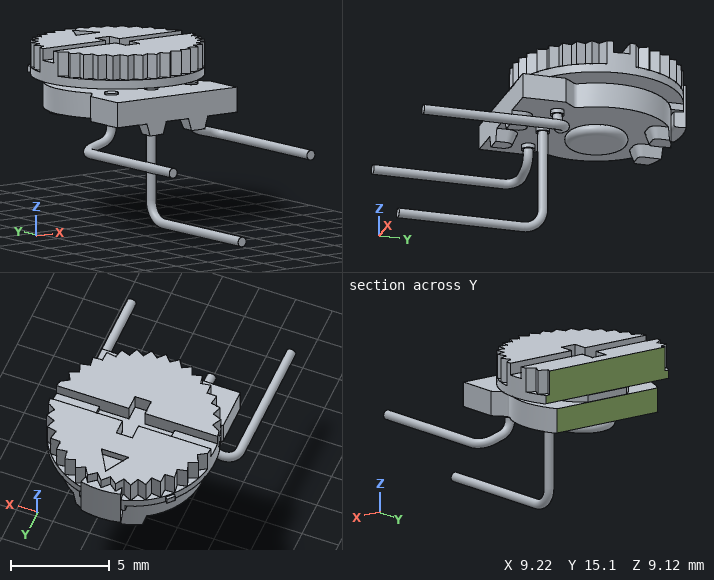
import cadquery as cq
import math


overall_length = 15.1

housing_radius = 3.79
housing_height = 1.3
housing_front = -5.06
shoulder_y = -2.78
shoulder_run = 0.55
shoulder_rise = 0.6
shoulder_fillet = 0.2

foot_height = 0.63
foot_offset = 1.31
front_foot_top = (0.62, -3.8, 0.6)
front_foot_bottom = (0.42, -4.09, 0.41)
rear_foot_top = (0.7, 2.26, 0.42)
rear_foot_bottom = (0.51, 2.49, 0.24)

button_radius = 1.6
button_height = 0.6

wheel_radius = 4.42
flange_bottom = 1.66
teeth_bottom = 2.11
wheel_top = 3.37
neck_radius = 2.28
neck_flat_y = 1.92
groove_pitch = 10.0
grooves_per_side = 16
groove_root_radius = 4.05

slot_width = 0.88
cross_reach = 1.27
slot_deep_reach = 2.05
slot_depth = 0.6
cross_depth = 0.85
pointer_half_base = 0.74
pointer_base_y = 2.52
pointer_tip_y = 3.79
pointer_depth = 0.41

stop_radius = 4.58
stop_half_width = 1.09
stop_inner_y = 3.82
stop_bottom = 0.47
stop_rounding = 0.18
lug_half_width = 1.24
lug_top_y = 3.46
lug_bottom_y = 3.56

nub_angle = 136.5
nub_width = 0.48
nub_radius = 4.58
nub_embed = 0.3
nub_bottom = 1.7
nub_top = 2.02

lead_radius = 0.25
lead_y = -2.84
lead_end_y = stop_radius - overall_length
collar_radius = 0.35
collar_bottom = -0.23
collar_top = 1.39
center_lead_z = -5.5
center_bend_radius = 1.04
side_lead_x = 2.52
side_lead_reach = 4.36
side_lead_bend_z = -0.41
side_bend_radius = 0.77
side_lead_slope = 15.0


def cylinder(radius, bottom, top, x=0.0, y=0.0):
    return cq.Workplane("XY", origin=(x, y, bottom)).circle(radius).extrude(top - bottom)


def box(x_min, x_max, y_min, y_max, z_min, z_max):
    plane = cq.Workplane("XY", origin=((x_min + x_max) / 2, (y_min + y_max) / 2, z_min))
    return plane.rect(x_max - x_min, y_max - y_min).extrude(z_max - z_min)


def make_housing():
    """Round housing with a square front block blended in by slanted shoulders."""
    shoulder_x = housing_radius - shoulder_run
    shoulder_end_y = shoulder_y + shoulder_rise
    apex_y = shoulder_end_y + shoulder_x * shoulder_rise / shoulder_run
    block = (
        cq.Workplane("XY")
        .moveTo(-housing_radius, housing_front)
        .lineTo(housing_radius, housing_front)
        .lineTo(housing_radius, shoulder_y)
        .lineTo(shoulder_x, shoulder_end_y)
        .lineTo(0, apex_y)
        .lineTo(-shoulder_x, shoulder_end_y)
        .lineTo(-housing_radius, shoulder_y)
        .close()
        .extrude(housing_height)
    )
    round_body = cylinder(housing_radius, 0, housing_height)
    body = round_body.union(block)
    corner_zone = cq.selectors.BoxSelector(
        (-housing_radius, shoulder_end_y, 0),
        (housing_radius, shoulder_end_y + shoulder_rise / 2, housing_height),
    )
    return body.edges("|Z").edges(corner_zone).fillet(shoulder_fillet)


def foot_wire(half_width, outer_y, inner_y, corner_radius, z):
    """Foot outline: square at outer_y, rounded corners at inner_y."""
    inward = math.copysign(1, inner_y - outer_y)
    turn_y = inner_y - inward * corner_radius
    flat_half = half_width - corner_radius
    diagonal = corner_radius * math.sqrt(0.5)
    outline = (
        cq.Workplane("XY", origin=(foot_offset, 0, z))
        .moveTo(-half_width, outer_y)
        .lineTo(half_width, outer_y)
        .lineTo(half_width, turn_y)
        .threePointArc((flat_half + diagonal, turn_y + inward * diagonal), (flat_half, inner_y))
        .lineTo(-flat_half, inner_y)
        .threePointArc((-flat_half - diagonal, turn_y + inward * diagonal), (-half_width, turn_y))
        .close()
    )
    return outline.val()


def make_foot(outer_y, top_size, bottom_size):
    """Tapered foot between a top and a bottom outline."""
    wires = []
    for (half_width, inner_y, corner_radius), z in ((bottom_size, -foot_height), (top_size, 0)):
        wires.append(foot_wire(half_width, outer_y, inner_y, corner_radius, z))
    return cq.Workplane(cq.Solid.makeLoft(wires, True))


def make_feet():
    """Two flush feet at the front edge and two following the round back."""
    front = make_foot(housing_front, front_foot_top, front_foot_bottom)
    rear = make_foot(housing_radius, rear_foot_top, rear_foot_bottom)
    rear = rear.intersect(cylinder(housing_radius, -foot_height, 0))
    pair = front.union(rear)
    return pair.union(pair.mirror("YZ"))


def make_button():
    """Disc with a fully rounded rim."""
    rim_radius = button_height / 2
    flat_radius = button_radius - rim_radius
    return (
        cq.Workplane("XZ")
        .lineTo(flat_radius, 0)
        .threePointArc((button_radius, -rim_radius), (flat_radius, -button_height))
        .lineTo(0, -button_height)
        .close()
        .revolve(360, (0, 0), (0, 1))
    )


def make_grooves():
    """V grooves on both halves of the rim, leaving it smooth at the slot ends."""
    half_pitch = math.radians(groove_pitch / 2)
    overrun = 1.2
    tip_x = wheel_radius * math.cos(half_pitch)
    outer_x = groove_root_radius + overrun * (tip_x - groove_root_radius)
    outer_y = overrun * wheel_radius * math.sin(half_pitch)
    cutter = (
        cq.Workplane("XY", origin=(0, 0, teeth_bottom))
        .polyline([(groove_root_radius, 0), (outer_x, outer_y), (outer_x, -outer_y)])
        .close()
        .extrude(wheel_top - teeth_bottom)
    )
    cutters = []
    first_angle = 1.5 * groove_pitch
    for side_angle in (0, 180):
        for index in range(grooves_per_side):
            angle = side_angle + first_angle + index * groove_pitch
            cutters.append(cutter.rotate((0, 0, 0), (0, 0, 1), angle))
    return cutters


def make_wheel():
    """Toothed wheel with its cross slot and pointer, on a neck with a flat at the back."""
    neck = cylinder(neck_radius, housing_height, flange_bottom)
    neck = neck.intersect(box(-neck_radius, neck_radius, -neck_radius, neck_flat_y,
                              housing_height, flange_bottom))
    wheel = cylinder(wheel_radius, flange_bottom, wheel_top)
    for cutter in make_grooves():
        wheel = wheel.cut(cutter)
    half_slot = slot_width / 2
    cross_floor = wheel_top - cross_depth
    wheel = wheel.cut(box(-wheel_radius, wheel_radius, -half_slot, half_slot,
                          wheel_top - slot_depth, wheel_top))
    wheel = wheel.cut(box(-slot_deep_reach, slot_deep_reach, -half_slot, half_slot,
                          cross_floor, wheel_top))
    wheel = wheel.cut(box(-half_slot, half_slot, -cross_reach, cross_reach,
                          cross_floor, wheel_top))
    pointer = (
        cq.Workplane("XY", origin=(0, 0, wheel_top))
        .polyline([(-pointer_half_base, pointer_base_y), (pointer_half_base, pointer_base_y),
                   (0, pointer_tip_y)])
        .close()
        .extrude(-pointer_depth)
    )
    return wheel.cut(pointer).union(neck)


def make_stop():
    """Radial-sided tab hanging behind the housing, with a wider lug riding on the housing top."""
    stop_top = wheel_top - slot_depth
    profile = box(-stop_half_width, stop_half_width, stop_inner_y, stop_radius, stop_bottom, stop_top)
    profile = profile.edges("<Y and <Z").fillet(stop_rounding)
    sector_end_y = math.sqrt(stop_radius**2 - stop_half_width**2)
    sector = (
        cq.Workplane("XY", origin=(0, 0, stop_bottom))
        .lineTo(stop_half_width, sector_end_y)
        .threePointArc((0, stop_radius), (-stop_half_width, sector_end_y))
        .close()
        .extrude(stop_top - stop_bottom)
    )
    tab = sector.intersect(profile)
    lug = (
        cq.Workplane("YZ", origin=(-lug_half_width, 0, 0))
        .polyline([(lug_bottom_y, housing_height), (wheel_radius, housing_height),
                   (wheel_radius, flange_bottom), (lug_top_y, flange_bottom)])
        .close()
        .extrude(2 * lug_half_width)
    )
    lug = lug.intersect(cylinder(wheel_radius, housing_height, flange_bottom))
    return tab.union(lug)


def make_nub():
    """Small index block standing out from the flange rim."""
    nub = box(wheel_radius - nub_embed, nub_radius, -nub_width / 2, nub_width / 2, nub_bottom, nub_top)
    return nub.rotate((0, 0, 0), (0, 0, 1), nub_angle)


def bend(start, heading, new_heading, radius, turn_degrees):
    """Arc edge from start that turns from one unit heading towards a perpendicular one."""
    turn = math.radians(turn_degrees)

    def point(angle):
        along = radius * math.sin(angle)
        across = radius * (1 - math.cos(angle))
        return start + heading * along + new_heading * across

    return cq.Edge.makeThreePointArc(start, point(turn / 2), point(turn))


def make_wire(edges):
    """Round wire that starts vertically and follows the joined edges."""
    start = edges[0].startPoint()
    profile = cq.Workplane("XY", origin=start.toTuple()).circle(lead_radius)
    return profile.sweep(cq.Workplane(cq.Wire.assembleEdges(edges)))


def make_collar(x):
    return cylinder(collar_radius, collar_bottom, collar_top, x, lead_y)


down = cq.Vector(0, 0, -1)
forward = cq.Vector(0, -1, 0)


def straight_to_end(start):
    return cq.Edge.makeLine(start, cq.Vector(start.x, lead_end_y, start.z))


def make_center_lead():
    top = cq.Vector(0, lead_y, 0)
    bend_start = cq.Vector(0, lead_y, center_lead_z + center_bend_radius)
    drop = cq.Edge.makeLine(top, bend_start)
    elbow = bend(bend_start, down, forward, center_bend_radius, 90)
    return make_wire([drop, elbow, straight_to_end(elbow.endPoint())]).union(make_collar(0))


def make_side_lead():
    """Lead on the +X side: down, outward on a slope, then forward."""
    slope = math.radians(side_lead_slope)
    outward = cq.Vector(math.cos(slope), 0, -math.sin(slope))
    top = cq.Vector(side_lead_x, lead_y, 0)
    bend_start = cq.Vector(side_lead_x, lead_y, side_lead_bend_z)
    drop = cq.Edge.makeLine(top, bend_start)
    outward_bend = bend(bend_start, down, cq.Vector(1, 0, 0), side_bend_radius, 90 - side_lead_slope)
    ramp_start = outward_bend.endPoint()
    ramp_length = (side_lead_reach - ramp_start.x) / math.cos(slope) - side_bend_radius
    ramp = cq.Edge.makeLine(ramp_start, ramp_start + outward * ramp_length)
    forward_bend = bend(ramp.endPoint(), outward, forward, side_bend_radius, 90)
    last = straight_to_end(forward_bend.endPoint())
    return make_wire([drop, outward_bend, ramp, forward_bend, last]).union(make_collar(side_lead_x))


side_lead = make_side_lead()
parts = [
    make_feet(),
    make_button(),
    make_wheel(),
    make_stop(),
    make_nub(),
    make_center_lead(),
    side_lead,
    side_lead.mirror("YZ"),
]
result = make_housing()
for part in parts:
    result = result.union(part)